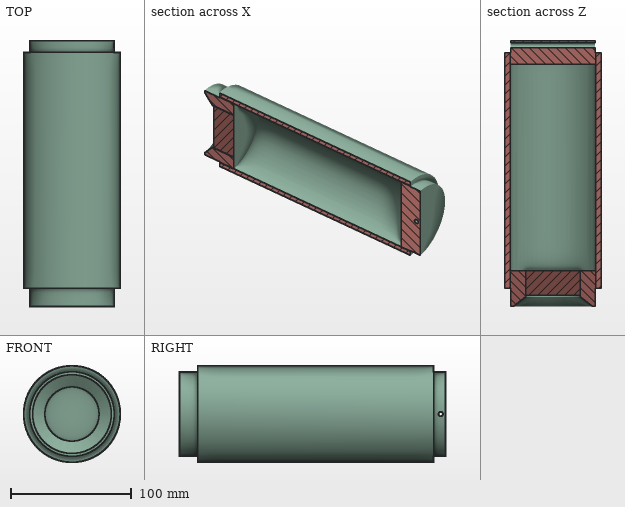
import cadquery as cq

total_length = 220.0
sleeve_radius = 40.0
collar_radius = 35.0

front_stand_out = 15.0
rear_stand_out = 10.0

mouth_radius = 32.5
throat_radius = 22.5
flare_depth = 8.0
throat_length = 1.0

front_seat_depth = front_stand_out
rear_seat_depth = rear_stand_out

cross_hole_diameter = 3.5
cross_hole_from_end = 4.0

front_end = -total_length / 2
rear_end = total_length / 2
sleeve_front = front_end + front_stand_out
sleeve_rear = rear_end - rear_stand_out
flare_end = front_end + flare_depth
disc_front = flare_end + throat_length
disc_rear = sleeve_front + front_seat_depth
plug_front = sleeve_rear - rear_seat_depth


def cylinder(radius, y_start, y_end):
    """Solid cylinder on the Y axis between two positions."""
    return (
        cq.Workplane("XZ", origin=(0, y_start, 0))
        .circle(radius)
        .extrude(y_start - y_end)
    )


def make_sleeve():
    """Outer tube whose bore holds the front and rear pieces."""
    bore = cylinder(collar_radius, sleeve_front, sleeve_rear)
    return cylinder(sleeve_radius, sleeve_front, sleeve_rear).cut(bore)


def make_front_ring():
    """Ring with a flared mouth, reaching back to the rear face of the disc."""
    profile = [
        (mouth_radius, front_end),
        (collar_radius, front_end),
        (collar_radius, disc_rear),
        (throat_radius, disc_rear),
        (throat_radius, flare_end),
    ]
    return (
        cq.Workplane("XY")
        .polyline(profile)
        .close()
        .revolve(360, (0, 0, 0), (0, 1, 0))
    )


def make_disc():
    """Flat disc closing the throat of the front ring."""
    return cylinder(throat_radius, disc_front, disc_rear)


def make_rear_plug():
    """Plug filling the rear of the sleeve, with a cross hole along X."""
    plug = cylinder(collar_radius, plug_front, rear_end)
    cross_hole = (
        cq.Workplane("YZ")
        .center(rear_end - cross_hole_from_end, 0)
        .circle(cross_hole_diameter / 2)
        .extrude(collar_radius, both=True)
    )
    return plug.cut(cross_hole)


sleeve = make_sleeve()
front_ring = make_front_ring()
disc = make_disc()
rear_plug = make_rear_plug()

result = cq.Compound.makeCompound(
    [sleeve.val(), front_ring.val(), disc.val(), rear_plug.val()]
)